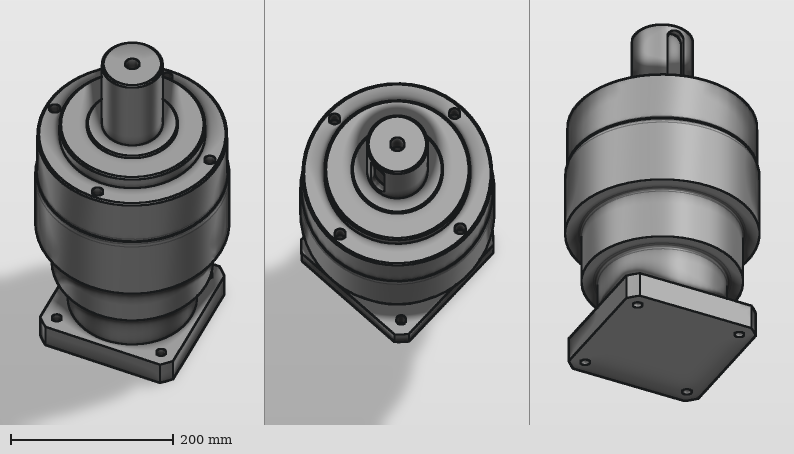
import cadquery as cq
import math


FLANGE_TOP = 33.5
ADAPTER_TOP = 99.5
STAGE_TOP = 170.5
BODY_TOP = 260.5
COLLAR_BOTTOM = 263.0
COLLAR_TOP = 264.5
HEAD_TOP = 331.0
PILOT_TOP = 349.0
SEAL_TOP = 352.0
SHAFT_TOP = 460.0

ADAPTER_RADIUS = 80.0
STAGE_RADIUS = 100.0
BODY_RADIUS = 120.0
COLLAR_RADIUS = 118.0
HEAD_RADIUS = 117.5
PILOT_RADIUS = 90.0
SEAL_RADIUS = 56.5
SHAFT_RADIUS = 37.5

EDGE_CHAMFER = 2.5
SEAL_BEVEL = 2.0
ADAPTER_FILLET = 5.0
STAGE_FILLET = 3.5
COLLAR_COVE_HEIGHT = 2.8
COLLAR_COVE_RADIUS = 4.5
BODY_EDGE_DROP = 4.0
BODY_EDGE_INSET = 1.0
BODY_EDGE_RADIUS = 9.5

FLANGE_WIDTH = 180.0
FLANGE_CORNER_RADIUS = 118.5
FLANGE_HOLE_CIRCLE_RADIUS = 100.0
FLANGE_HOLE_DIAMETER = 12.0

DRILL_POINT_ANGLE = 118
HEAD_HOLE_CIRCLE_RADIUS = 105.0
HEAD_HOLE_DIAMETER = 14.0
HEAD_HOLE_DEPTH = 27.5
CENTRE_HOLE_DIAMETER = 17.5
CENTRE_HOLE_DEPTH = 41.5

KEY_WIDTH = 22.0
KEY_DEPTH = 9.0
KEY_TOP = 451.5
KEY_LENGTH = 90.0


def cylinder(radius, bottom, top):
    return cq.Workplane("XY").workplane(offset=bottom).circle(radius).extrude(top - bottom)


def make_flange():
    square = cq.Workplane("XY").rect(FLANGE_WIDTH, FLANGE_WIDTH).extrude(FLANGE_TOP)
    return square.intersect(cylinder(FLANGE_CORNER_RADIUS, 0, FLANGE_TOP))


def make_turned_body():
    """Revolve the stepped half profile, from the flange top up to the shaft end."""
    profile = (
        cq.Workplane("XZ")
        .moveTo(0, FLANGE_TOP)
        .lineTo(ADAPTER_RADIUS, FLANGE_TOP)
        .lineTo(ADAPTER_RADIUS, ADAPTER_TOP - ADAPTER_FILLET)
        .radiusArc((ADAPTER_RADIUS + ADAPTER_FILLET, ADAPTER_TOP), ADAPTER_FILLET)
        .lineTo(STAGE_RADIUS, ADAPTER_TOP)
        .lineTo(STAGE_RADIUS, STAGE_TOP - STAGE_FILLET)
        .radiusArc((STAGE_RADIUS + STAGE_FILLET, STAGE_TOP), STAGE_FILLET)
        .lineTo(BODY_RADIUS, STAGE_TOP)
        .lineTo(BODY_RADIUS, BODY_TOP - BODY_EDGE_DROP)
        .radiusArc((BODY_RADIUS - BODY_EDGE_INSET, BODY_TOP), -BODY_EDGE_RADIUS)
        .lineTo(COLLAR_RADIUS, COLLAR_BOTTOM)
        .lineTo(COLLAR_RADIUS, COLLAR_TOP)
        .radiusArc((HEAD_RADIUS, COLLAR_TOP + COLLAR_COVE_HEIGHT), COLLAR_COVE_RADIUS)
        .lineTo(HEAD_RADIUS, HEAD_TOP - EDGE_CHAMFER)
        .lineTo(HEAD_RADIUS - EDGE_CHAMFER, HEAD_TOP)
        .lineTo(PILOT_RADIUS, HEAD_TOP)
        .lineTo(PILOT_RADIUS, PILOT_TOP - EDGE_CHAMFER)
        .lineTo(PILOT_RADIUS - EDGE_CHAMFER, PILOT_TOP)
        .lineTo(SEAL_RADIUS, PILOT_TOP)
        .lineTo(SEAL_RADIUS - SEAL_BEVEL, SEAL_TOP)
        .lineTo(SHAFT_RADIUS, SEAL_TOP)
        .lineTo(SHAFT_RADIUS, SHAFT_TOP - EDGE_CHAMFER)
        .lineTo(SHAFT_RADIUS - EDGE_CHAMFER, SHAFT_TOP)
        .lineTo(0, SHAFT_TOP)
        .close()
    )
    return profile.revolve(360, (0, 0), (0, 1))


def drilled_hole(x, y, top, diameter, depth):
    """Blind hole cutter: a straight bore ending in a drill point."""
    radius = diameter / 2
    point_length = radius / math.tan(math.radians(DRILL_POINT_ANGLE / 2))
    half_profile = [(0, 0), (radius, 0), (radius, -depth), (0, -depth - point_length)]
    cutter = cq.Workplane("XZ").polyline(half_profile).close().revolve(360, (0, 0), (0, 1))
    return cutter.translate((x, y, top))


def make_key_slot():
    """Round-ended cutter reaching outward in +Y, past the shaft surface."""
    middle_height = KEY_TOP - KEY_LENGTH / 2
    cutter_height = 2 * KEY_DEPTH
    return (
        cq.Workplane("XZ", origin=(0, SHAFT_RADIUS - KEY_DEPTH, middle_height))
        .slot2D(KEY_LENGTH, KEY_WIDTH, 90)
        .extrude(-cutter_height)
    )


result = make_flange().union(make_turned_body())

for quarter in range(4):
    angle = math.radians(90 * quarter)
    head_x = HEAD_HOLE_CIRCLE_RADIUS * math.cos(angle)
    head_y = HEAD_HOLE_CIRCLE_RADIUS * math.sin(angle)
    result = result.cut(drilled_hole(head_x, head_y, HEAD_TOP, HEAD_HOLE_DIAMETER, HEAD_HOLE_DEPTH))

    diagonal = angle + math.radians(45)
    flange_x = FLANGE_HOLE_CIRCLE_RADIUS * math.cos(diagonal)
    flange_y = FLANGE_HOLE_CIRCLE_RADIUS * math.sin(diagonal)
    flange_hole = cylinder(FLANGE_HOLE_DIAMETER / 2, 0, FLANGE_TOP).translate((flange_x, flange_y, 0))
    result = result.cut(flange_hole)

result = result.cut(drilled_hole(0, 0, SHAFT_TOP, CENTRE_HOLE_DIAMETER, CENTRE_HOLE_DEPTH))
result = result.cut(make_key_slot())